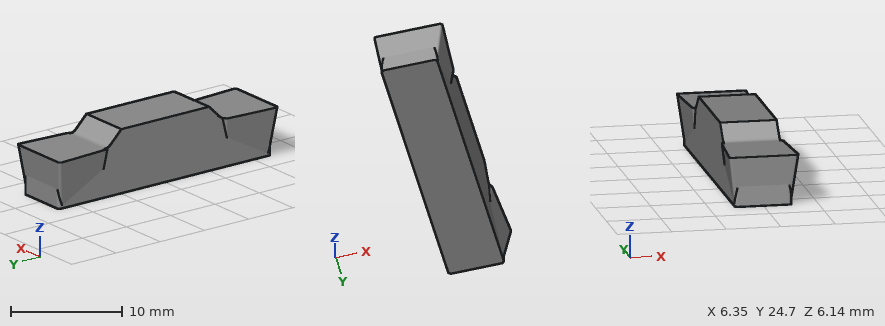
import cadquery as cq
import math


total_length = 24.74
cutting_width = 6.38
total_height = 6.14

shank_width = 5.19
deck_height = 4.67
shank_end_setback = 0.345
shank_corner_radius = 0.3

ridge_length = 9.92
ramp_angle = 45.0
ramp_foot_radius = 1.0

relief_angle = 7.0
side_back_taper = 3.8
head_side_length = 5.47
head_tail_angle = 30.0
cutting_corner_radius = 0.25
tail_corner_radius = 0.2


def tangent(degrees):
    return math.tan(math.radians(degrees))


half_length = total_length / 2
half_cutting_width = cutting_width / 2
half_shank_width = shank_width / 2
shank_end = half_length - shank_end_setback


def make_shank():
    """Side profile with ramps, extruded across the shank, with rounded vertical end corners."""
    half_ridge = ridge_length / 2
    ramp_foot = half_ridge + (total_height - deck_height) / tangent(ramp_angle)
    shank = (
        cq.Workplane("YZ")
        .moveTo(-shank_end, 0)
        .lineTo(shank_end, 0)
        .lineTo(shank_end, deck_height)
        .lineTo(ramp_foot, deck_height)
        .lineTo(half_ridge, total_height)
        .lineTo(-half_ridge, total_height)
        .lineTo(-ramp_foot, deck_height)
        .lineTo(-shank_end, deck_height)
        .close()
        .extrude(half_shank_width, both=True)
    )
    shank = shank.edges("|Z").fillet(shank_corner_radius)
    for foot_y in (-ramp_foot, ramp_foot):
        foot_edge = cq.selectors.NearestToPointSelector((0, foot_y, deck_height))
        shank = shank.edges(foot_edge).fillet(ramp_foot_radius)
    return shank


def make_front_head():
    """Head at the -Y end: widest at the cutting edge, drawn in all round towards the underside."""
    cutting_edge = -half_length
    side_end = cutting_edge + head_side_length
    side_end_half_width = half_cutting_width - head_side_length * tangent(side_back_taper)
    tail_end = side_end + (side_end_half_width - half_shank_width) / tangent(head_tail_angle)
    buried_half_width = half_shank_width / 2
    buried_end = tail_end + (half_shank_width - buried_half_width) / tangent(head_tail_angle)

    head = (
        cq.Workplane("XY", origin=(0, 0, deck_height))
        .moveTo(-half_cutting_width, cutting_edge)
        .lineTo(half_cutting_width, cutting_edge)
        .lineTo(side_end_half_width, side_end)
        .lineTo(buried_half_width, buried_end)
        .lineTo(-buried_half_width, buried_end)
        .lineTo(-side_end_half_width, side_end)
        .close()
        .extrude(-deck_height, taper=relief_angle)
    )
    corner_rounds = (
        (half_cutting_width, cutting_edge, cutting_corner_radius),
        (side_end_half_width, side_end, tail_corner_radius),
    )
    for x, y, radius in corner_rounds:
        for side in (-1, 1):
            mid_height_edge = cq.selectors.NearestToPointSelector((side * x, y, deck_height / 2))
            head = head.edges(mid_height_edge).fillet(radius)
    return head


front_head = make_front_head()
back_head = front_head.mirror("XZ")
result = make_shank().union(front_head).union(back_head)